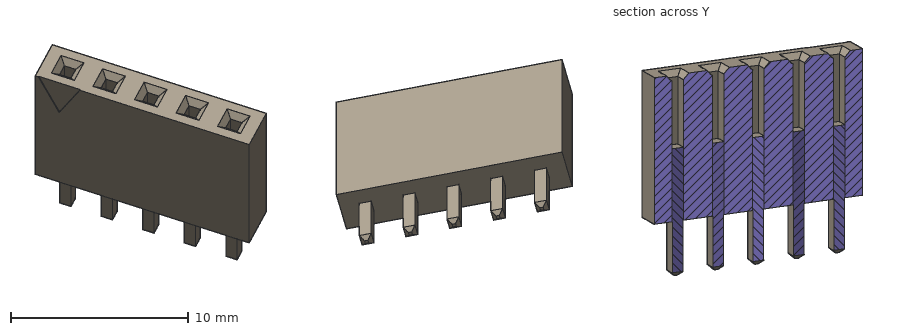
import cadquery as cq

housing_length = 13.1
housing_width = 2.5
housing_height = 8.65

contact_count = 5
contact_pitch = 2.54
first_contact_x = -contact_pitch * (contact_count - 1) / 2
contact_positions = [first_contact_x + index * contact_pitch for index in range(contact_count)]

pin_side = 0.7
pin_exposed_length = 3.25
pin_embedded_length = housing_height / 2
pin_tip_height = 0.25
pin_tip_side = pin_side - 2 * pin_tip_height

funnel_mouth_side = 1.4
funnel_depth = (funnel_mouth_side - pin_side) / 2

mark_width = contact_pitch
mark_height = contact_pitch
mark_depth = 0.05


def make_funnel(x):
    """Inverted square pyramid frustum that opens at the top face."""
    return (
        cq.Workplane("XY", origin=(x, 0, housing_height - funnel_depth))
        .rect(pin_side, pin_side)
        .workplane(offset=funnel_depth)
        .rect(funnel_mouth_side, funnel_mouth_side)
        .loft(ruled=True)
    )


def make_passage(x):
    """Square passage through the full height of the housing."""
    return (
        cq.Workplane("XY", origin=(x, 0, 0))
        .rect(pin_side, pin_side)
        .extrude(housing_height)
    )


def make_pin_one_mark():
    """Triangular prism pointing down, centred on the first contact."""
    return (
        cq.Workplane("XZ", origin=(first_contact_x, -housing_width / 2, housing_height))
        .moveTo(-mark_width / 2, 0)
        .lineTo(mark_width / 2, 0)
        .lineTo(0, -mark_height)
        .close()
        .extrude(-mark_depth)
    )


def make_housing():
    """Rectangular block with one socket per contact and the pin-1 mark."""
    body = cq.Workplane("XY").box(
        housing_length, housing_width, housing_height, centered=(True, True, False)
    )
    for x in contact_positions:
        body = body.cut(make_passage(x))
        body = body.cut(make_funnel(x))
    return body.cut(make_pin_one_mark())


def make_pin(x):
    """Square pin that fills the lower part of its passage and ends in a tapered tip."""
    shank_bottom = pin_tip_height - pin_exposed_length
    shank = (
        cq.Workplane("XY", origin=(x, 0, shank_bottom))
        .rect(pin_side, pin_side)
        .extrude(pin_embedded_length - shank_bottom)
    )
    tip = (
        cq.Workplane("XY", origin=(x, 0, -pin_exposed_length))
        .rect(pin_tip_side, pin_tip_side)
        .workplane(offset=pin_tip_height)
        .rect(pin_side, pin_side)
        .loft(ruled=True)
    )
    return shank.union(tip)


housing = make_housing()
pins = [make_pin(x) for x in contact_positions]

result = cq.Compound.makeCompound([housing.val(), *[pin.val() for pin in pins]])